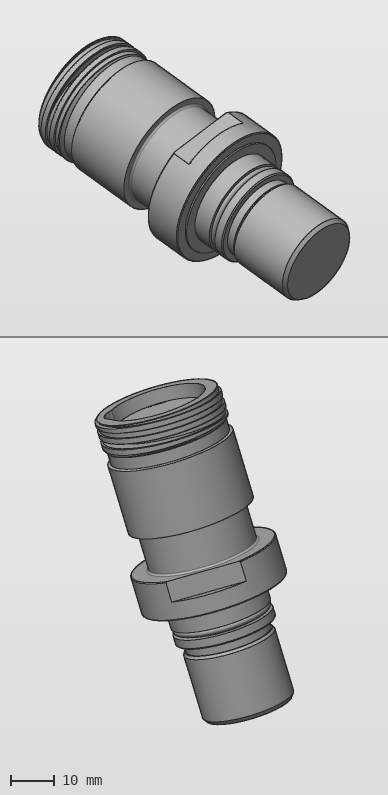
import cadquery as cq
import math

total_length = 75.8

thread_pitch = 2.7
thread_root_diameter = 29.0
thread_root_radius = thread_root_diameter / 2
thread_crest_diameter = 30.0
thread_crest_radius = thread_crest_diameter / 2
thread_crest_width = 1.4
thread_root_width = 1.45
thread_first_center_x = -0.7
thread_turns = 4
thread_embed = 0.2
thread_start_radius = 14.4
thread_end_x = 8.0
relief_radius = 14.25

barrel_start_x = 10.9
barrel_edge_lean = 0.2
barrel_end_x = 27.9
barrel_radius = thread_crest_radius
waist_radius = 12.95
waist_fillet = 0.5
flange_start_x = 37.8
flange_end_x = 47.3
flange_diameter = 34.8
flange_radius = flange_diameter / 2
flange_chamfer = 0.2
flat_half_height = 14.9
flat_length = 5.0
collar_radius = 14.7
collar_end_x = 47.75
seat_radius = 12.0
seat_end_x = 56.55
seat_chamfer = 0.3
neck_radius = 10.2
spigot_start_x = 58.75
spigot_diameter = 21.9
spigot_radius = spigot_diameter / 2
spigot_lead_length = 0.7
spigot_lead_radius = 10.5
spigot_tip_chamfer_length = 1.0
spigot_tip_radius = 10.2

ring_section_radius = 0.75
ring_groove_start_x = 52.4
ring_groove_width = 1.8
ring_groove_radius = neck_radius
ring_center_radius = ring_groove_radius + ring_section_radius
ring_center_x = ring_groove_start_x + ring_section_radius

bore_radius = 11.6
key_tip_y = 12.6
key_round_radius = 5.3
key_flank_angle = math.radians(37)
key_half_width = 4.1
bore_floor_x = 4.0
bore_floor_lean = 0.7
core_length = 9.1

slot_width = 1.2
slot_outer_radius = 15.55
slot_inner_radius = 11.0
slot_start_x = thread_first_center_x + 1.5 * thread_pitch
runout_radius = 11.75
runout_offset = 2.9


def revolve_about_x(points):
    """Solid of revolution about X from (x, radius) points."""
    return cq.Workplane("XY").polyline(points).close().revolve(360, (0, 0, 0), (1, 0, 0))


def helical_sweep(section, start_x, turns):
    """Sweep a closed (radius, x) section along a left-hand helix about X that starts on the -Y side."""
    height = turns * thread_pitch
    path = cq.Wire.makeHelix(thread_pitch, height, thread_root_radius, lefthand=True)
    swept = cq.Workplane("XZ").polyline(section).close().sweep(cq.Workplane(path), isFrenet=True)
    along_x = swept.rotate((0, 0, 0), (0, 0, 1), -90).rotate((0, 0, 0), (0, 1, 0), 90)
    return along_x.translate((start_x, 0, 0))


def turned_body():
    """Plain turned shape behind the threaded end."""
    return revolve_about_x([
        (thread_end_x, 0),
        (thread_end_x, relief_radius),
        (barrel_start_x, relief_radius),
        (barrel_start_x + barrel_edge_lean, barrel_radius),
        (barrel_end_x, barrel_radius),
        (barrel_end_x, waist_radius),
        (flange_start_x, waist_radius),
        (flange_start_x, flange_radius - flange_chamfer),
        (flange_start_x + flange_chamfer, flange_radius),
        (flange_end_x - flange_chamfer, flange_radius),
        (flange_end_x, flange_radius - flange_chamfer),
        (flange_end_x, collar_radius),
        (collar_end_x, collar_radius),
        (collar_end_x, seat_radius),
        (ring_groove_start_x, seat_radius),
        (ring_groove_start_x, ring_groove_radius),
        (ring_groove_start_x + ring_groove_width, ring_groove_radius),
        (ring_groove_start_x + ring_groove_width, seat_radius),
        (seat_end_x - seat_chamfer, seat_radius),
        (seat_end_x, seat_radius - seat_chamfer),
        (seat_end_x, neck_radius),
        (spigot_start_x, neck_radius),
        (spigot_start_x, spigot_lead_radius),
        (spigot_start_x + spigot_lead_length, spigot_radius),
        (total_length - spigot_tip_chamfer_length, spigot_radius),
        (total_length, spigot_tip_radius),
        (total_length, 0),
    ])


def fillet_waist(body):
    """Round the inside corners at both ends of the waist."""
    margin = 0.1
    reach = waist_radius + margin
    for corner_x in (barrel_end_x, flange_start_x):
        corner = cq.selectors.BoxSelector(
            (corner_x - margin, -reach, -reach), (corner_x + margin, reach, reach), boundingbox=True
        )
        body = body.edges(corner).fillet(waist_fillet)
    return body


def flange_flat_cutter():
    """Pair of blocks that leave two wrench flats on the front of the flange."""
    blocks = cq.Workplane("XY")
    depth = flange_radius - flat_half_height
    for side in (1, -1):
        block = cq.Workplane("XY").box(flat_length, flange_diameter, 2 * depth)
        blocks = blocks.add(block.translate((flange_start_x + flat_length / 2, 0, side * flange_radius)))
    return blocks.combine()


def threaded_end():
    """Root cylinder with a helical ridge, both trimmed to 45 degree chamfers at the two ends."""
    crest_half = thread_crest_width / 2
    root_half = thread_root_width / 2
    section = [
        (thread_root_radius - thread_embed, -root_half),
        (thread_crest_radius, -crest_half),
        (thread_crest_radius, crest_half),
        (thread_root_radius - thread_embed, root_half),
    ]
    ridge = helical_sweep(section, thread_first_center_x, thread_turns)
    stock_length = thread_first_center_x + (thread_turns + 1) * thread_pitch
    stock = cq.Workplane("YZ").circle(thread_root_radius).extrude(stock_length)
    peak_x = (thread_end_x + relief_radius - thread_start_radius) / 2
    envelope = revolve_about_x([
        (0, 0),
        (0, thread_start_radius),
        (peak_x, thread_start_radius + peak_x),
        (thread_end_x, relief_radius),
        (thread_end_x, 0),
    ])
    return stock.union(ridge).intersect(envelope)


def keyed_core():
    """Prism with the outline of the bore: a circle with a rounded key on the +Y side."""
    key_center_y = key_tip_y - key_round_radius
    round_end_y = key_center_y + key_round_radius * math.cos(key_flank_angle)
    round_end_z = key_round_radius * math.sin(key_flank_angle)
    flank_end_y = math.sqrt(bore_radius**2 - key_half_width**2)
    return (
        cq.Workplane("YZ")
        .moveTo(flank_end_y, -key_half_width)
        .lineTo(round_end_y, -round_end_z)
        .threePointArc((key_tip_y, 0), (round_end_y, round_end_z))
        .lineTo(flank_end_y, key_half_width)
        .threePointArc((-bore_radius, 0), (flank_end_y, -key_half_width))
        .close()
        .extrude(core_length)
    )


def bore_cutter():
    """Front part of the keyed prism, ending at the leaning floor."""
    wedge = (
        cq.Workplane("XZ")
        .polyline([
            (0, 2 * bore_radius),
            (bore_floor_x - 2 * bore_floor_lean, 2 * bore_radius),
            (bore_floor_x + 2 * bore_floor_lean, -2 * bore_radius),
            (0, -2 * bore_radius),
        ])
        .close()
        .extrude(2 * bore_radius, both=True)
    )
    return keyed_core().intersect(wedge)


def slot_cutter():
    """One turn of helical slot that stops at the keyed core and runs out on the -Y side."""
    half_width = slot_width / 2
    section = [
        (slot_inner_radius, -half_width),
        (slot_outer_radius, -half_width),
        (slot_outer_radius, half_width),
        (slot_inner_radius, half_width),
    ]
    turn = helical_sweep(section, slot_start_x, 1)
    runout = cq.Workplane("YZ").center(-runout_offset, 0).circle(runout_radius).extrude(core_length)
    return turn.cut(keyed_core()).cut(runout)


def make_housing():
    body = fillet_waist(turned_body())
    body = body.cut(flange_flat_cutter())
    front = threaded_end().cut(slot_cutter())
    return body.union(front).cut(bore_cutter()).solids()


def make_o_ring():
    return (
        cq.Workplane("XY")
        .center(ring_center_x, ring_center_radius)
        .circle(ring_section_radius)
        .revolve(360, (0, -ring_center_radius, 0), (1, -ring_center_radius, 0))
    )


housing = make_housing()
o_ring = make_o_ring()

result = cq.Compound.makeCompound([housing.val(), o_ring.val()])